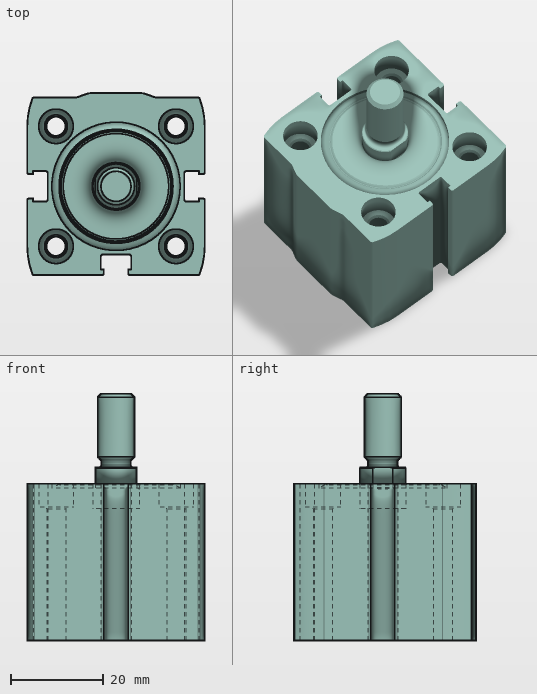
import cadquery as cq
import math

half_width = 19.25
shoulder_y = 19.25
pad_y = 20.2
pad_radius = 21.0
pad_crest_blend = 3.2
pad_foot_blend = 2.7
body_height = 33.95
flat_half_length = 12.85
side_radius = 17.65
corner_blend = 0.5

slot_opening = 5.25
slot_width = 6.55
slot_lip = 1.3
slot_depth = 4.45
slot_floor_blend = 0.4
slot_mouth_blend = 0.45

hole_offset = 13.0
hole_diameter = 4.1
hole_countersink_diameter = 5.0
counterbore_diameter = 7.5
counterbore_depth = 5.0

groove_outer_diameter = 27.8
groove_crest_diameter = 24.7
groove_slope = 30.0
seam_floor_outer_diameter = 24.2
seam_floor_inner_diameter = 23.75
cap_diameter = 22.85

overall_height = 53.5
rod_diameter = 10.0
rod_insertion = 5.35
socket_chamfer = 0.15
collar_top = 37.5
collar_chamfer = 0.15
flat_distance = 9.0
flat_insertion = 0.8
flat_shoulder_slope = 30.0
thread_diameter = 8.0
thread_bottom = 39.8
thread_chamfer = 0.75
neck_diameter = 6.4
neck_blend = 0.55

groove_depth = (groove_outer_diameter - groove_crest_diameter) / 2 * math.tan(math.radians(groove_slope))
seam_depth = (groove_crest_diameter - seam_floor_outer_diameter) / 2
rod_bottom = body_height - rod_insertion

side_centre_x = half_width - side_radius
corner_rise = half_width - flat_half_length
corner_x = side_centre_x + math.sqrt(side_radius**2 - corner_rise**2)
pad_foot_x = math.sqrt(pad_radius**2 - shoulder_y**2)
pad_crest_x = math.sqrt(pad_radius**2 - pad_y**2)


def body_outline():
    """Closed outline of the housing, before its sharp corners are blended."""
    mid_rise = corner_rise / 2
    mid_x = side_centre_x + math.sqrt(side_radius**2 - mid_rise**2)
    mid_y = flat_half_length + mid_rise
    flank_x = (pad_foot_x + pad_crest_x) / 2
    flank_y = math.sqrt(pad_radius**2 - flank_x**2)
    return (
        cq.Workplane("XY")
        .moveTo(-corner_x, -half_width)
        .lineTo(corner_x, -half_width)
        .threePointArc((mid_x, -mid_y), (half_width, -flat_half_length))
        .lineTo(half_width, flat_half_length)
        .threePointArc((mid_x, mid_y), (corner_x, shoulder_y))
        .lineTo(pad_foot_x, shoulder_y)
        .threePointArc((flank_x, flank_y), (pad_crest_x, pad_y))
        .lineTo(-pad_crest_x, pad_y)
        .threePointArc((-flank_x, flank_y), (-pad_foot_x, shoulder_y))
        .lineTo(-corner_x, shoulder_y)
        .threePointArc((-mid_x, mid_y), (-half_width, flat_half_length))
        .lineTo(-half_width, -flat_half_length)
        .threePointArc((-mid_x, -mid_y), (-corner_x, -half_width))
        .close()
    )


def blend_upright_edges(solid, points, radius):
    """Fillet the vertical edges that pass through the given XY points."""
    for x, y in points:
        solid = solid.edges(cq.selectors.NearestToPointSelector((x, y, body_height / 2))).fillet(radius)
    return solid


def housing_block():
    block = body_outline().extrude(body_height)
    corners = [(x, y) for x in (-corner_x, corner_x) for y in (-half_width, shoulder_y)]
    block = blend_upright_edges(block, corners, corner_blend)
    block = blend_upright_edges(block, [(-pad_foot_x, shoulder_y), (pad_foot_x, shoulder_y)], pad_foot_blend)
    return blend_upright_edges(block, [(-pad_crest_x, pad_y), (pad_crest_x, pad_y)], pad_crest_blend)


def t_slot():
    """T-slot cutter that opens on the -Y face."""
    face_y = -half_width
    chamber_depth = slot_depth - slot_lip
    chamber = (
        cq.Workplane("XY")
        .center(0, face_y + slot_lip + chamber_depth / 2)
        .rect(slot_width, chamber_depth)
        .extrude(body_height)
        .edges("|Z and >Y")
        .fillet(slot_floor_blend)
    )
    mouth_half = slot_opening / 2
    mouth_outer_half = mouth_half + slot_mouth_blend
    blend_top_y = face_y + slot_mouth_blend
    mouth = (
        cq.Workplane("XY")
        .moveTo(-mouth_outer_half, face_y)
        .radiusArc((-mouth_half, blend_top_y), -slot_mouth_blend)
        .lineTo(-mouth_half, face_y + slot_lip)
        .lineTo(mouth_half, face_y + slot_lip)
        .lineTo(mouth_half, blend_top_y)
        .radiusArc((mouth_outer_half, face_y), -slot_mouth_blend)
        .close()
        .extrude(body_height)
    )
    return chamber.union(mouth)


def mounting_hole(x, y):
    """Stepped through hole, counterbored from the top face."""
    bore_radius = hole_diameter / 2
    sink_radius = hole_countersink_diameter / 2
    head_radius = counterbore_diameter / 2
    ledge_z = body_height - counterbore_depth
    return (
        cq.Workplane("XZ")
        .polyline([
            (0, 0),
            (bore_radius, 0),
            (bore_radius, ledge_z - (sink_radius - bore_radius)),
            (sink_radius, ledge_z),
            (head_radius, ledge_z),
            (head_radius, body_height),
            (0, body_height),
        ])
        .close()
        .revolve(360, (0, 0, 0), (0, 1, 0))
        .translate((x, y, 0))
    )


def ring_cutter(points):
    """Revolve a profile of (diameter, depth below the top face) pairs about the axis."""
    profile = [(diameter / 2, body_height - depth) for diameter, depth in points]
    return cq.Workplane("XZ").polyline(profile).close().revolve(360, (0, 0, 0), (0, 1, 0))


def top_groove():
    """Groove with a conical floor that falls towards its upright outer wall."""
    return ring_cutter([
        (groove_crest_diameter, 0),
        (groove_outer_diameter, 0),
        (groove_outer_diameter, groove_depth),
    ])


def cap_seam():
    """Shallow groove with sloping sides around the end cap."""
    return ring_cutter([
        (groove_crest_diameter, 0),
        (seam_floor_outer_diameter, seam_depth),
        (seam_floor_inner_diameter, seam_depth),
        (cap_diameter, 0),
    ])


def rod_socket():
    return ring_cutter([
        (0, 0),
        (rod_diameter + 2 * socket_chamfer, 0),
        (rod_diameter, socket_chamfer),
        (rod_diameter, rod_insertion),
        (0, rod_insertion),
    ])


def make_housing():
    housing = housing_block()
    for angle in (-90, 0, 90):
        housing = housing.cut(t_slot().rotate((0, 0, 0), (0, 0, 1), angle))
    for x in (-hole_offset, hole_offset):
        for y in (-hole_offset, hole_offset):
            housing = housing.cut(mounting_hole(x, y))
    return housing.cut(top_groove()).cut(cap_seam()).cut(rod_socket())


def rod_profile():
    """Turned rod: collar, undercut neck with blended ends, and thread with a chamfered tip."""
    rod_radius = rod_diameter / 2
    thread_radius = thread_diameter / 2
    neck_radius = neck_diameter / 2
    diagonal = neck_blend * math.sqrt(0.5)
    blend_end_radius = neck_radius + neck_blend - diagonal
    blend_end_z = thread_bottom - (thread_radius - blend_end_radius)
    return (
        cq.Workplane("XZ")
        .moveTo(0, rod_bottom)
        .lineTo(rod_radius, rod_bottom)
        .lineTo(rod_radius, collar_top - collar_chamfer)
        .lineTo(rod_radius - collar_chamfer, collar_top)
        .lineTo(neck_radius + neck_blend, collar_top)
        .radiusArc((neck_radius, collar_top + neck_blend), neck_blend)
        .lineTo(neck_radius, blend_end_z - diagonal)
        .radiusArc((blend_end_radius, blend_end_z), neck_blend)
        .lineTo(thread_radius, thread_bottom)
        .lineTo(thread_radius, overall_height - thread_chamfer)
        .lineTo(thread_radius - thread_chamfer, overall_height)
        .lineTo(0, overall_height)
        .close()
    )


def wrench_flat():
    """Cutter for the flat on the +X side, with a sloping shoulder at its lower end."""
    inner_x = flat_distance / 2
    outer_x = rod_diameter / 2
    flat_bottom = body_height - flat_insertion
    shoulder_drop = (outer_x - inner_x) * math.tan(math.radians(flat_shoulder_slope))
    return (
        cq.Workplane("XZ")
        .polyline([
            (inner_x, flat_bottom),
            (outer_x, flat_bottom - shoulder_drop),
            (outer_x, collar_top),
            (inner_x, collar_top),
        ])
        .close()
        .extrude(outer_x, both=True)
    )


def make_rod():
    rod = rod_profile().revolve(360, (0, 0, 0), (0, 1, 0))
    for angle in (0, 180):
        rod = rod.cut(wrench_flat().rotate((0, 0, 0), (0, 0, 1), angle))
    return rod


housing = make_housing()
rod = make_rod()
result = cq.Compound.makeCompound([housing.val(), rod.val()])